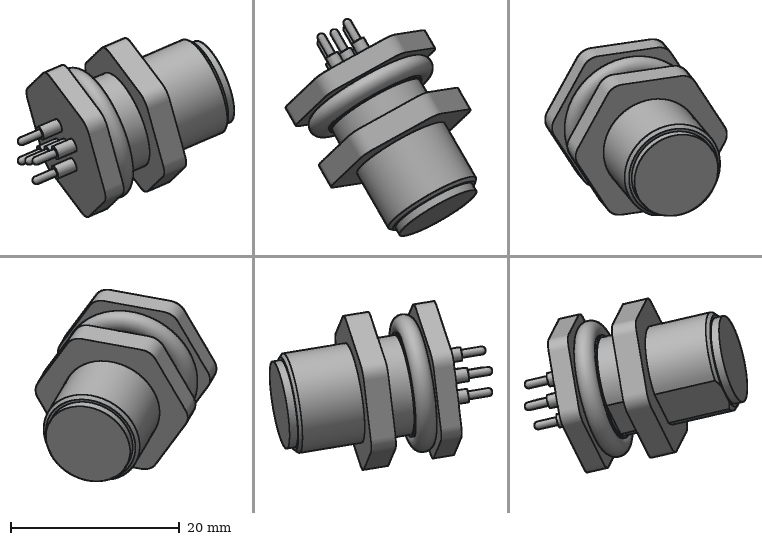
import cadquery as cq
import math


overall_length = 25.5
pin_length = 5.5
pin_sleeve_length = 2.5
flange_thickness = 2.5
seal_thickness = 2.5
nut_gap = 3.0
nut_thickness = 3.0
nose_length = 1.0

seal_start = flange_thickness
seal_end = seal_start + seal_thickness
nut_start = seal_end + nut_gap
nose_end = overall_length - pin_length
barrel_end = nose_end - nose_length

hex_across_flats = 17.0
hex_corner_radius = 2.07
barrel_diameter = 12.0
barrel_chamfer = 0.4
barrel_flat_offset = 5.4
nose_diameter = 10.5
seal_seat_diameter = 12.55
seal_outer_diameter = 16.58

pin_diameter = 1.0
pin_sleeve_diameter = 1.65
pin_circle_diameter = 5.0
outer_pin_count = 4


def disc(diameter, start, end):
    """Cylinder on the part axis between two Y stations."""
    return cq.Workplane("XZ", origin=(0, start, 0)).circle(diameter / 2).extrude(start - end)


def hex_plate(start, thickness):
    """Rounded hexagon with flats facing +Z and -Z and corners on the X axis."""
    across_corners = hex_across_flats / math.cos(math.radians(30))
    plate = cq.Workplane("XZ", origin=(0, start, 0)).polygon(6, across_corners).extrude(-thickness)
    return plate.edges("|Y").fillet(hex_corner_radius)


def barrel():
    """Threaded barrel with a chamfered end and a flat along its underside."""
    body = disc(barrel_diameter, flange_thickness, barrel_end).faces(">Y").chamfer(barrel_chamfer)
    length = barrel_end - flange_thickness
    keep = (
        cq.Workplane("XY", origin=(0, flange_thickness, -barrel_flat_offset))
        .box(barrel_diameter, length, barrel_diameter, centered=(True, False, False))
    )
    return body.intersect(keep)


def sealing_ring():
    """O-ring resting against the flange."""
    section_radius = seal_thickness / 2
    centre_radius = seal_outer_diameter / 2 - section_radius
    return (
        cq.Workplane("ZY")
        .center(-centre_radius, (seal_start + seal_end) / 2)
        .circle(section_radius)
        .revolve(360, (centre_radius, 0), (centre_radius, 1))
    )


def contact_pin():
    """Stepped pin on the axis with a hemispherical tip; it starts at the flange face."""
    tip_radius = pin_diameter / 2
    return (
        cq.Workplane("ZY")
        .lineTo(pin_sleeve_diameter / 2, 0)
        .lineTo(pin_sleeve_diameter / 2, -pin_sleeve_length)
        .lineTo(tip_radius, -pin_sleeve_length)
        .lineTo(tip_radius, tip_radius - pin_length)
        .radiusArc((0, -pin_length), tip_radius)
        .close()
        .revolve(360, (0, 0), (0, 1))
    )


result = (
    hex_plate(0, flange_thickness)
    .union(barrel())
    .union(disc(seal_seat_diameter, seal_start, seal_end))
    .union(sealing_ring())
    .union(hex_plate(nut_start, nut_thickness))
    .union(disc(nose_diameter, barrel_end, nose_end))
)

pin = contact_pin()
result = result.union(pin)
for index in range(outer_pin_count):
    angle = math.radians(45 + index * 360 / outer_pin_count)
    pin_x = pin_circle_diameter / 2 * math.cos(angle)
    pin_z = pin_circle_diameter / 2 * math.sin(angle)
    result = result.union(pin.translate((pin_x, 0, pin_z)))